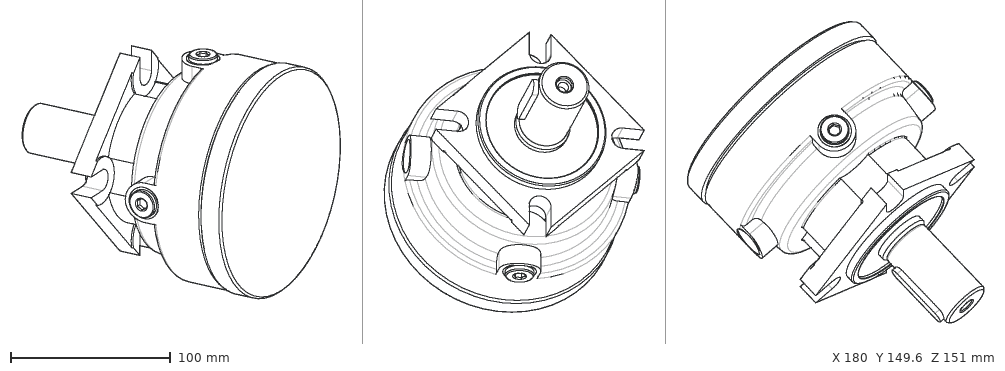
import cadquery as cq
import math


SHAFT_DIA = 32.0
SHAFT_END_CHAMFER = 1.5
RELIEF_START = 56.0
RELIEF_DEPTH = 0.2
CONE_START = 56.9
COLLAR_DIA = 35.0
COLLAR_START = 58.9
CENTRE_MOUTH_DIA = 11.5
CENTRE_DIA = 10.0
CENTRE_DEPTH = 3.6
DRILL_DIA = 6.7
DRILL_DEPTH = 10.8
DRILL_TIP_ANGLE = 118

KEY_WIDTH = 10.0
KEY_START = 3.5
KEY_LENGTH = 45.4
KEY_TOP = 18.99
KEY_FLOOR = 9.0

PILOT_DIA = 82.5
PILOT_START = 61.0
PILOT_CHAMFER = 0.9
SEAL_DIA = 72.0
SEAL_CHAMFER = 0.4
SEAL_DEPTH = 1.8
FLANGE_START = 66.8
FLANGE_THICKNESS = 13.3
FLANGE_HALF_DIAGONAL = 74.0
SLOT_WIDTH = 14.0
SLOT_RADIUS = 53.1
PAD_DIA = 31.3
PAD_RADIUS = 54.2
PAD_HEIGHT = 1.3

NECK_DIA = 90.5
NECK_FILLET = 0.9
SHOULDER_START = 105.0
SHOULDER_DIA = 119.5
SHOULDER_FILLET = 3.6
SHOULDER_TAPER = 2.0
SHOULDER_END = 125.0
STEP_FILLET = 4.1
BODY_DIA = 146.0
BODY_START = 131.4
BODY_FILLET = BODY_START - SHOULDER_END - STEP_FILLET
GROOVE_DIA = 140.4
GROOVE_START = 163.3
RING_DIA = 148.1
RING_START = 165.6
RING_CHAMFER = 1.5
HOUSING_END = 180.0

PORT_X = 123.1
BOSS_WIDTH = 26.6
BOSS_ROOT = 54.0
SPOTFACE_DIA = 21.0
SPOTFACE_LEVEL = 72.2
PLUG_DIA = 18.0
PLUG_TOP = 75.51
PLUG_CHAMFER_HEIGHT = 0.9
PLUG_CHAMFER_WIDTH = 0.5
SOCKET_ACROSS_FLATS = 6.7
SOCKET_MOUTH_DIA = 8.6
SOCKET_DEPTH = 3.6

SEAL_FLOOR = PILOT_START + SEAL_DEPTH
FLANGE_BACK = FLANGE_START + FLANGE_THICKNESS
QUARTER_TURNS = (0, 90, 180, 270)
SEAM_TURN = 45
PLUGGED_TURNS = (0, 90, 180)


def revolve_about_x(profile):
    """Revolves a closed profile drawn as (x, radius)."""
    return profile.close().revolve(360, (0, 0, 0), (1, 0, 0))


def bar_along_x(diameter, start, end):
    return cq.Workplane("YZ", origin=(start, 0, 0)).circle(diameter / 2).extrude(end - start)


def about_x(shape, angle):
    return shape.rotate((0, 0, 0), (1, 0, 0), angle)


def make_centre_hole():
    mouth, bore, drill = CENTRE_MOUTH_DIA / 2, CENTRE_DIA / 2, DRILL_DIA / 2
    tip_length = drill / math.tan(math.radians(DRILL_TIP_ANGLE / 2))
    return revolve_about_x(
        cq.Workplane("XY")
        .moveTo(0, 0)
        .lineTo(0, mouth)
        .lineTo(mouth - bore, bore)
        .lineTo(CENTRE_DEPTH, bore)
        .lineTo(CENTRE_DEPTH, drill)
        .lineTo(DRILL_DEPTH, drill)
        .lineTo(DRILL_DEPTH + tip_length, 0)
    )


def make_key():
    """Round-ended key standing on the +Y side of the shaft."""
    middle = KEY_START + KEY_LENGTH / 2
    outline = cq.Workplane("XZ", origin=(middle, KEY_FLOOR, 0)).slot2D(KEY_LENGTH, KEY_WIDTH)
    return outline.extrude(KEY_FLOOR - KEY_TOP)


def make_shaft():
    radius, collar = SHAFT_DIA / 2, COLLAR_DIA / 2
    turned = revolve_about_x(
        cq.Workplane("XY")
        .moveTo(0, 0)
        .lineTo(0, radius - SHAFT_END_CHAMFER)
        .lineTo(SHAFT_END_CHAMFER, radius)
        .lineTo(RELIEF_START, radius)
        .lineTo(CONE_START, radius - RELIEF_DEPTH)
        .lineTo(COLLAR_START, collar)
        .lineTo(SEAL_FLOOR, collar)
        .lineTo(SEAL_FLOOR, 0)
    )
    return turned.union(make_key()).cut(make_centre_hole())


def make_pilot():
    pilot = bar_along_x(PILOT_DIA, PILOT_START, FLANGE_BACK)
    return pilot.faces("<X").edges().chamfer(PILOT_CHAMFER)


def make_seal_recess():
    recess = bar_along_x(SEAL_DIA, PILOT_START, SEAL_FLOOR)
    mouth = (
        cq.Workplane("YZ", origin=(PILOT_START, 0, 0))
        .circle(SEAL_DIA / 2 + SEAL_CHAMFER)
        .workplane(offset=SEAL_CHAMFER)
        .circle(SEAL_DIA / 2)
        .loft()
    )
    return recess.union(mouth)


def flange_blank(start, thickness):
    """Square plate standing on its corner."""
    half = FLANGE_HALF_DIAGONAL
    corners = [(half, 0), (0, half), (-half, 0), (0, -half)]
    return cq.Workplane("YZ", origin=(start, 0, 0)).polyline(corners).close().extrude(thickness)


def corner_cylinder(start, end):
    """Pad-sized cylinder at the upper flange corner."""
    return bar_along_x(PAD_DIA, start, end).translate((0, 0, PAD_RADIUS))


def make_slot():
    """Open-ended slot through the upper flange corner."""
    length = FLANGE_THICKNESS + PAD_HEIGHT
    middle = FLANGE_START + length / 2
    reach = FLANGE_HALF_DIAGONAL - SLOT_RADIUS
    end = bar_along_x(SLOT_WIDTH, FLANGE_START, FLANGE_START + length).translate((0, 0, SLOT_RADIUS))
    return end.union(
        cq.Workplane("XY", origin=(middle, 0, SLOT_RADIUS))
        .rect(length, SLOT_WIDTH)
        .extrude(reach)
    )


def make_round_housing():
    """Neck, shoulder, body and end ring turned as one piece."""
    neck, shoulder, body, ring = NECK_DIA / 2, SHOULDER_DIA / 2, BODY_DIA / 2, RING_DIA / 2
    shoulder_top = shoulder + SHOULDER_TAPER
    wall_x = BODY_START - BODY_FILLET
    return revolve_about_x(
        cq.Workplane("XY")
        .moveTo(FLANGE_BACK, 0)
        .lineTo(FLANGE_BACK, neck)
        .lineTo(SHOULDER_START - NECK_FILLET, neck)
        .radiusArc((SHOULDER_START, neck + NECK_FILLET), -NECK_FILLET)
        .lineTo(SHOULDER_START, shoulder - SHOULDER_FILLET)
        .radiusArc((SHOULDER_START + SHOULDER_FILLET, shoulder), SHOULDER_FILLET)
        .lineTo(SHOULDER_END, shoulder_top)
        .radiusArc((wall_x, shoulder_top + STEP_FILLET), -STEP_FILLET)
        .lineTo(wall_x, body - BODY_FILLET)
        .radiusArc((BODY_START, body), BODY_FILLET)
        .lineTo(GROOVE_START, body)
        .lineTo(GROOVE_START, GROOVE_DIA / 2)
        .lineTo(RING_START, GROOVE_DIA / 2)
        .lineTo(RING_START, ring)
        .lineTo(HOUSING_END - RING_CHAMFER, ring)
        .lineTo(HOUSING_END, ring - RING_CHAMFER)
        .lineTo(HOUSING_END, 0)
    )


def upright_cylinder(diameter, bottom, top):
    """Cylinder on the upper port axis, between two levels."""
    return cq.Workplane("XY", origin=(PORT_X, 0, bottom)).circle(diameter / 2).extrude(top - bottom)


def make_port_boss():
    """Round-nosed boss that runs straight into the body and follows its round outside."""
    run = BODY_START - PORT_X
    nose = upright_cylinder(BOSS_WIDTH, BOSS_ROOT, PLUG_TOP)
    tail = (
        cq.Workplane("XY", origin=(PORT_X + run / 2, 0, BOSS_ROOT))
        .rect(run, BOSS_WIDTH)
        .extrude(PLUG_TOP - BOSS_ROOT)
    )
    envelope = bar_along_x(BODY_DIA, SHOULDER_START, GROOVE_START)
    return nose.union(tail).intersect(envelope)


def make_plug():
    plug = upright_cylinder(PLUG_DIA, BOSS_ROOT, PLUG_TOP - PLUG_CHAMFER_HEIGHT).union(
        cq.Workplane("XY", origin=(PORT_X, 0, PLUG_TOP - PLUG_CHAMFER_HEIGHT))
        .circle(PLUG_DIA / 2)
        .workplane(offset=PLUG_CHAMFER_HEIGHT)
        .circle(PLUG_DIA / 2 - PLUG_CHAMFER_WIDTH)
        .loft()
    )
    across_corners = SOCKET_ACROSS_FLATS / math.cos(math.pi / 6)
    socket = (
        cq.Workplane("XY", origin=(PORT_X, 0, PLUG_TOP))
        .transformed(rotate=(0, 0, 90))
        .polygon(6, across_corners)
        .extrude(-SOCKET_DEPTH)
    )
    countersink_depth = (SOCKET_MOUTH_DIA - SOCKET_ACROSS_FLATS) / 2
    countersink = (
        cq.Workplane("XY", origin=(PORT_X, 0, PLUG_TOP))
        .circle(SOCKET_MOUTH_DIA / 2)
        .workplane(offset=-countersink_depth)
        .circle(SOCKET_ACROSS_FLATS / 2)
        .loft()
    )
    return plug.cut(socket).cut(countersink)


def make_housing():
    flange = flange_blank(FLANGE_START, FLANGE_THICKNESS)
    pad = flange_blank(FLANGE_BACK, PAD_HEIGHT).intersect(
        corner_cylinder(FLANGE_BACK, FLANGE_BACK + PAD_HEIGHT)
    )
    neck_clearance = corner_cylinder(FLANGE_BACK + PAD_HEIGHT, SHOULDER_START)
    slot = make_slot()
    boss = make_port_boss()
    spotface = upright_cylinder(SPOTFACE_DIA, SPOTFACE_LEVEL, PLUG_TOP)
    plug = make_plug()

    turned = about_x(make_round_housing(), SEAM_TURN)
    housing = turned.union(flange).union(make_pilot())
    for turn in QUARTER_TURNS:
        housing = housing.union(about_x(pad, turn)).cut(about_x(neck_clearance, turn))
        housing = housing.cut(about_x(slot, turn))
        housing = housing.union(about_x(boss, turn)).cut(about_x(spotface, turn))
    plug_seat = upright_cylinder(PLUG_DIA, BOSS_ROOT, SPOTFACE_LEVEL)
    for turn in PLUGGED_TURNS:
        housing = housing.cut(about_x(plug_seat, turn)).union(about_x(plug, turn))
    return housing.cut(make_seal_recess())


shaft = make_shaft()
housing = make_housing()

result = cq.Compound.makeCompound([shaft.val(), housing.val()])